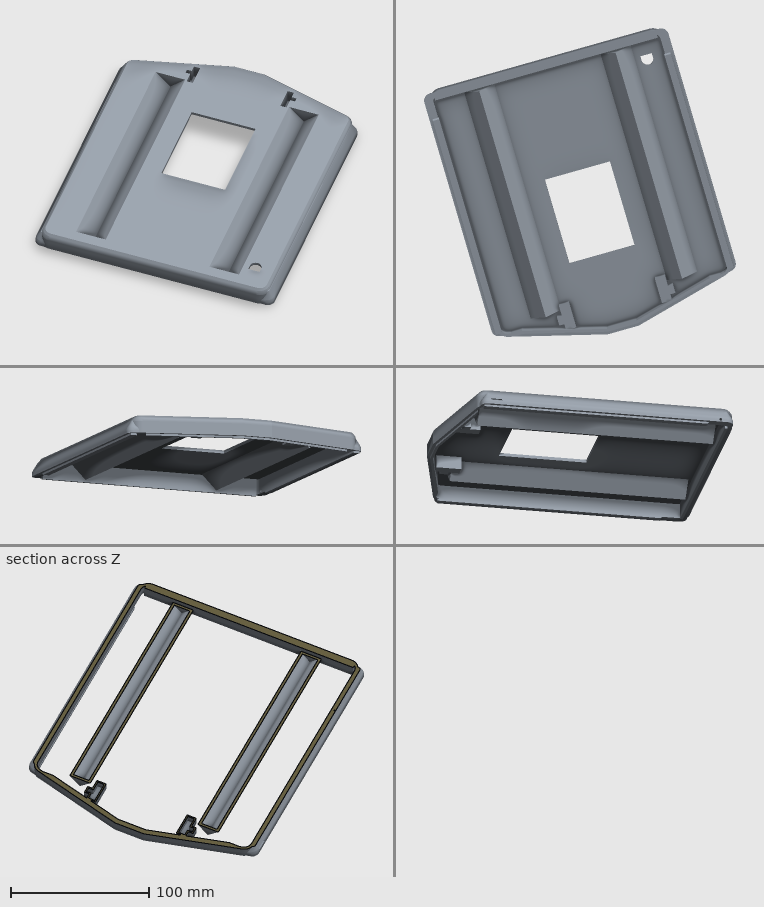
import cadquery as cq
import math

LENGTH = 207.2
WIDTH = 184.0
HEIGHT = 14.7
HALF_LENGTH = LENGTH / 2
HALF_WIDTH = WIDTH / 2

SKIN = 2.3
BASE_Z = 1.5
BODY_HALF_WIDTH = 87.8
PEAK_HALF_WIDTH = 11.5
PEAK_SLOPE = math.tan(math.radians(14.6))
BODY_CORNER = 8.0
EDGE_CHAMFER = 2.7
EDGE_ROUND = 4.4
ROOF_Z = HEIGHT - SKIN

WING_SETBACK = 0.6
WING_CORNER = 5.4
WING_TOP_Z = 11.5
WING_SHOULDER_Z = 4.8
WING_ROUND = 5.2

RIB_WIDTH = 2.0
RIB_INSET = 2.3
FRONT_RIB_INSET = 4.0
FRONT_RIB_HALF_LENGTH = 84.0
SIDE_RIB_WIDTH = 4.8
SIDE_RIB_FRONT_Y = -84.5
SIDE_RIB_BACK_Y = 81.2
SIDE_RIB_CHAMFER = 1.0
BACK_RIB_FRONT_Y = 83.7

WINDOW_WIDTH = 49.0
WINDOW_LENGTH = 64.6
WINDOW_Y = 15.5

TROUGH_X = 51.4
TROUGH_WIDTH = 22.8
TROUGH_DEPTH = 11.2
TROUGH_FRONT_Y = -92.8
TROUGH_BACK_Y = 76.7

SOCKET_INNER_X = 33.8
SOCKET_WIDTH = 4.8
SOCKET_FRONT_Y = 75.6
SOCKET_LENGTH = 15.5
STUB_LENGTH = 3.7
STUB_WIDTH = 3.1
STUB_Y = 85.0
SOCKET_DEPTH = 10.4
SOCKET_WALL = 1.5

D_HOLE_X = 71.5
D_HOLE_Y = -81.8
D_HOLE_RADIUS = 4.4
D_HOLE_FLAT_Y = -85.4

PIN_HOLE_DIAMETER = 2.0
PIN_HOLE_Y = -93.0
PIN_HOLE_Z = 3.3
SIDE_SLOT_LENGTH = 8.3
SIDE_SLOT_HEIGHT = 1.2
SIDE_SLOT_Y = 72.5
SIDE_SLOT_Z = 5.2
SIDE_SLOT_DEPTH = 2.0


def box(x_min, x_max, y_min, y_max, z_min, z_max):
    """Box between two opposite corners."""
    return cq.Workplane("XY").box(
        x_max - x_min, y_max - y_min, z_max - z_min, centered=False
    ).translate((x_min, y_min, z_min))


def plan(half_width, inset, z_min, z_max):
    """House-shaped prism; inset moves both ends and the slanted edges inward."""
    slant_drop = inset * math.sqrt(1 + PEAK_SLOPE**2)
    back_y = HALF_LENGTH - inset
    front_y = inset - HALF_LENGTH
    peak_x = PEAK_HALF_WIDTH - (slant_drop - inset) / PEAK_SLOPE
    shoulder_y = back_y - (half_width - peak_x) * PEAK_SLOPE
    points = [
        (-half_width, front_y),
        (half_width, front_y),
        (half_width, shoulder_y),
        (peak_x, back_y),
        (-peak_x, back_y),
        (-half_width, shoulder_y),
    ]
    return cq.Workplane("XY").workplane(offset=z_min).polyline(points).close().extrude(z_max - z_min)


def round_side_corners(prism, radius):
    """Round the four upright corners at the -X and +X sides."""
    return prism.edges("|Z and (<X or >X)").fillet(radius)


def edges_at(z):
    """Selector for the edges that lie wholly at one height."""
    margin = 0.2
    return cq.selectors.BoxSelector(
        (-WIDTH, -LENGTH, z - margin), (WIDTH, LENGTH, z + margin), boundingbox=True
    )


def main_body():
    """Solid block with a chamfered and softened top edge."""
    body = round_side_corners(plan(BODY_HALF_WIDTH, 0, BASE_Z, HEIGHT), BODY_CORNER)
    body = body.faces(">Z").chamfer(EDGE_CHAMFER)
    return body.edges(edges_at(HEIGHT - EDGE_CHAMFER)).fillet(EDGE_ROUND)


def wing_layer():
    """Low layer whose sloped edge shows as a wing beside the body and wraps round its corners."""
    base = round_side_corners(plan(HALF_WIDTH, WING_SETBACK, BASE_Z, WING_SHOULDER_Z), WING_CORNER)
    slope_run = HALF_WIDTH - BODY_HALF_WIDTH
    slope_rise = WING_TOP_Z - WING_SHOULDER_Z
    slope_angle = math.degrees(math.atan2(slope_run, slope_rise))
    layer = base.faces(">Z").wires().toPending().extrude(slope_rise, taper=slope_angle)
    return layer.edges(edges_at(WING_SHOULDER_Z)).fillet(WING_ROUND)


def cavity():
    """Hollow that opens on the underside."""
    return round_side_corners(
        plan(BODY_HALF_WIDTH - SKIN, SKIN, 0, ROOF_Z), BODY_CORNER - SKIN
    )


def front_rib():
    """Straight rib joined to the inside of the -Y wall."""
    outer_y = FRONT_RIB_INSET - HALF_LENGTH
    inner_y = outer_y + RIB_WIDTH
    wall_y = SKIN - HALF_LENGTH
    rib = box(-FRONT_RIB_HALF_LENGTH, FRONT_RIB_HALF_LENGTH, outer_y, inner_y, 0, ROOF_Z)
    link = box(-FRONT_RIB_HALF_LENGTH, FRONT_RIB_HALF_LENGTH, wall_y, outer_y, BASE_Z, ROOF_Z)
    return rib.union(link)


def side_rib():
    """Rib under the -X wing with a bevelled front end."""
    outer_x = RIB_INSET - HALF_WIDTH
    rib = box(outer_x, outer_x + SIDE_RIB_WIDTH, SIDE_RIB_FRONT_Y, SIDE_RIB_BACK_Y, 0, BASE_Z)
    return rib.faces("<Z").edges("<Y").chamfer(SIDE_RIB_CHAMFER)


def back_rib():
    """Rib that follows the slanted edges of the +Y end."""
    ring = plan(HALF_WIDTH, RIB_INSET, 0, ROOF_Z).cut(plan(WIDTH, RIB_INSET + RIB_WIDTH, 0, ROOF_Z))
    return ring.intersect(box(-HALF_WIDTH, HALF_WIDTH, BACK_RIB_FRONT_Y, HALF_LENGTH, 0, HEIGHT))


def trough(center_x, skin):
    """V-shaped prism from the top plate down; skin widens it into the shell around the trough."""
    half_width = TROUGH_WIDTH / 2 + skin
    depth = TROUGH_DEPTH + skin
    return (
        cq.Workplane("XZ", origin=(center_x, TROUGH_BACK_Y + skin, HEIGHT))
        .moveTo(-half_width, 0)
        .lineTo(half_width, 0)
        .lineTo(0, -depth)
        .close()
        .extrude(TROUGH_BACK_Y - TROUGH_FRONT_Y + 2 * skin)
    )


def socket(wall):
    """T-shaped block on the +X side; wall grows it into the shell around the socket."""
    outer_x = SOCKET_INNER_X + SOCKET_WIDTH
    bottom_z = HEIGHT - SOCKET_DEPTH - wall
    bar = box(
        SOCKET_INNER_X - wall, outer_x + wall,
        SOCKET_FRONT_Y - wall, SOCKET_FRONT_Y + SOCKET_LENGTH + wall,
        bottom_z, HEIGHT,
    )
    stub = box(
        SOCKET_INNER_X, outer_x + STUB_LENGTH + wall,
        STUB_Y - STUB_WIDTH / 2 - wall, STUB_Y + STUB_WIDTH / 2 + wall,
        bottom_z, HEIGHT,
    )
    return bar.union(stub)


def d_hole():
    """Hole with straight sides, a flat front end and a half-round back end."""
    left_x = D_HOLE_X - D_HOLE_RADIUS
    right_x = D_HOLE_X + D_HOLE_RADIUS
    return (
        cq.Workplane("XY")
        .moveTo(left_x, D_HOLE_FLAT_Y)
        .lineTo(right_x, D_HOLE_FLAT_Y)
        .lineTo(right_x, D_HOLE_Y)
        .threePointArc((D_HOLE_X, D_HOLE_Y + D_HOLE_RADIUS), (left_x, D_HOLE_Y))
        .close()
        .extrude(HEIGHT)
    )


def window():
    """Rectangular opening through the top plate."""
    return (
        cq.Workplane("XY").center(0, WINDOW_Y).rect(WINDOW_WIDTH, WINDOW_LENGTH).extrude(HEIGHT)
    )


def pin_hole():
    """Round hole through the -X wall."""
    return (
        cq.Workplane("YZ", origin=(-HALF_WIDTH, PIN_HOLE_Y, PIN_HOLE_Z))
        .circle(PIN_HOLE_DIAMETER / 2)
        .extrude(HALF_WIDTH - BODY_HALF_WIDTH + SKIN)
    )


def side_slot():
    """Shallow slot in the -X wing."""
    return (
        cq.Workplane("YZ", origin=(-HALF_WIDTH, SIDE_SLOT_Y, SIDE_SLOT_Z))
        .rect(SIDE_SLOT_LENGTH, SIDE_SLOT_HEIGHT)
        .extrude(SIDE_SLOT_DEPTH)
    )


def both_sides(shape):
    """The shape together with its mirror image across the YZ plane."""
    return shape.union(shape.mirror("YZ"))


cover = main_body().union(wing_layer()).cut(cavity())
for rib in (front_rib(), back_rib(), both_sides(side_rib())):
    cover = cover.union(rib)

cover = cover.union(both_sides(trough(TROUGH_X, SKIN)))
cover = cover.union(both_sides(socket(SOCKET_WALL)))

for opening in (
    both_sides(trough(TROUGH_X, 0)),
    both_sides(socket(0)),
    window(),
    d_hole(),
    pin_hole(),
    side_slot(),
):
    cover = cover.cut(opening)

result = cover